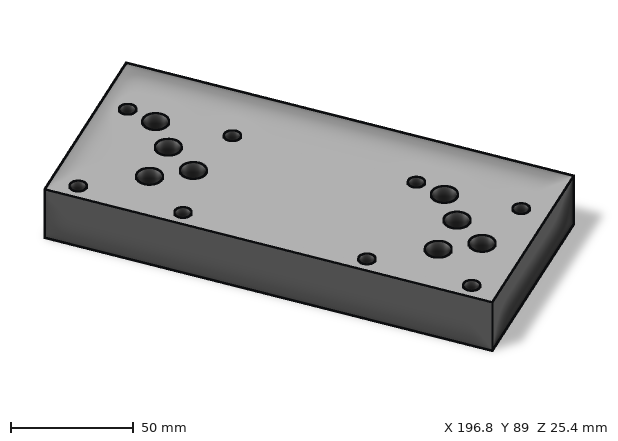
import cadquery as cq

LENGTH = 196.8
WIDTH = 89.0
THICKNESS = 25.4

PATTERN_PITCH = 127.0
BOLT_SPACING_X = 46.0
BOLT_SPACING_Y = 54.0
FRONT_MARGIN = 7.0

BOLT_DIAMETER = 7.0
PORT_DIAMETER = 11.0

PORT_OFFSETS = [
    (24.6, 16.7),
    (39.8, 27.0),
    (24.6, 37.2),
    (13.5, 50.8),
]
BOLT_OFFSETS = [(x, y) for x in (0, BOLT_SPACING_X) for y in (0, BOLT_SPACING_Y)]


def pattern_origins():
    """Front-left bolt hole of each pattern; the pair is centred on the plate length."""
    y = FRONT_MARGIN - WIDTH / 2
    return [(side * PATTERN_PITCH / 2 - BOLT_SPACING_X / 2, y) for side in (-1, 1)]


def drill_pattern(plate, origin, offsets, diameter):
    """Drill through holes from the top face at the given offsets from the origin."""
    centres = [(origin[0] + x, origin[1] + y) for x, y in offsets]
    return plate.faces(">Z").workplane(origin=(0, 0, 0)).pushPoints(centres).hole(diameter)


result = cq.Workplane("XY").box(LENGTH, WIDTH, THICKNESS, centered=(True, True, False))

for pattern_origin in pattern_origins():
    result = drill_pattern(result, pattern_origin, BOLT_OFFSETS, BOLT_DIAMETER)
    result = drill_pattern(result, pattern_origin, PORT_OFFSETS, PORT_DIAMETER)